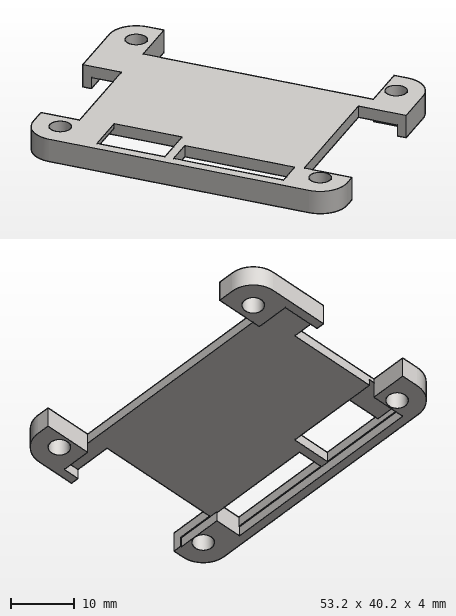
import cadquery as cq

length = 53.2
width = 40.2
height = 4.0
corner_radius = 4.6
hole_diameter = 3.5
skin = 2.0
wall = 1.5

left, right = -length / 2, length / 2
front, rear = -width / 2, width / 2

left_notch_x = left + 6.55
left_notch_front = front + 7.7
left_notch_rear = front + 24.8
right_notch_x = right - 8.1
right_notch_front = front + 6.55
right_notch_rear = front + 28.7
rear_notch_left = left + 7.4
rear_notch_right = right - 6.8
rear_notch_y = rear - 8.55

window_front = front + 1.65
square_window_left = left + 12.0
square_window_right = left + 23.5
square_window_rear = front + 8.65
long_window_left = left + 25.0
long_window_right = left + 43.6
long_window_rear = front + 6.2

right_pad_rear = front + 6.4

channel_roof = 0.8


def box(x0, x1, y0, y1, z0=0.0, z1=height):
    """Box between two opposite corners."""
    return cq.Workplane("XY").box(x1 - x0, y1 - y0, z1 - z0, centered=False).translate((x0, y0, z0))


slab = cq.Workplane("XY").box(length, width, height, centered=(True, True, False))
slab = slab.edges("|Z").fillet(corner_radius)

cavity = box(left + wall, right - wall, front + wall, rear, 0, height - skin)
pads = [
    box(left, left_notch_x, front, left_notch_front),
    box(long_window_right, right, front, right_pad_rear),
    box(left, rear_notch_left, rear_notch_y, rear),
    box(rear_notch_right, right, rear_notch_y, rear),
]
for pad in pads:
    cavity = cavity.cut(pad)
body = slab.cut(cavity)

body = body.cut(box(left, left_notch_x, left_notch_front, left_notch_rear))
body = body.cut(box(right_notch_x, right, right_notch_front, right_notch_rear))
body = body.cut(box(rear_notch_left, rear_notch_right, rear_notch_y, rear))

body = body.cut(box(square_window_left, square_window_right, window_front, square_window_rear))
body = body.cut(box(long_window_left, long_window_right, window_front, long_window_rear))

body = body.cut(
    box(left_notch_x, square_window_left, window_front, square_window_rear, 0, height - channel_roof)
)

holes = (
    cq.Workplane("XY")
    .rect(length - 2 * corner_radius, width - 2 * corner_radius, forConstruction=True)
    .vertices()
    .circle(hole_diameter / 2)
    .extrude(height)
)
result = body.cut(holes)